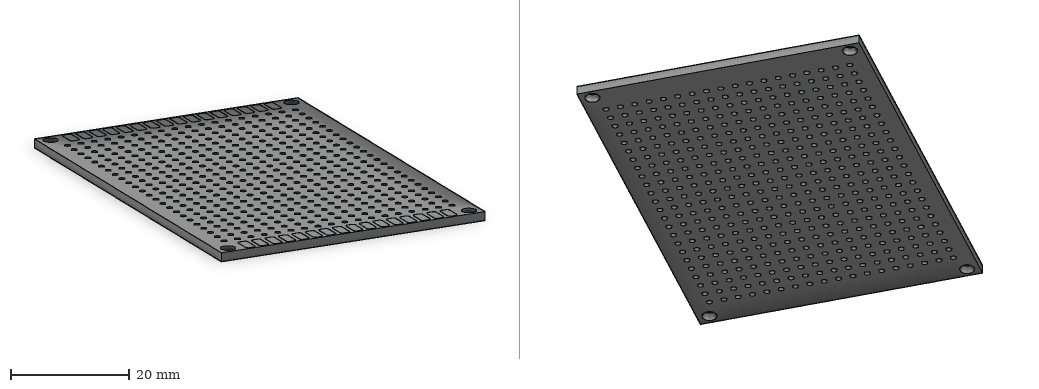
import cadquery as cq

board_length = 70.0
board_width = 50.0
total_height = 1.6
pad_height = 0.015
board_thickness = total_height - pad_height

mount_diameter = 2.5
mount_inset_x = 1.8
mount_inset_y = 2.2
mount_spacing_x = board_length - 2 * mount_inset_x
mount_spacing_y = board_width - 2 * mount_inset_y

grid_diameter = 1.0
grid_columns = 24
grid_rows = 18
grid_span_x = 58.6
grid_span_y = 43.2
grid_pitch_x = grid_span_x / (grid_columns - 1)
grid_pitch_y = grid_span_y / (grid_rows - 1)

pad_length = 3.6
pad_width = 1.75
pad_corner_radius = 0.5
pad_edge_gap = 0.35
pad_columns = 2
pad_rows = grid_rows - 2
pad_span_y = 38.3
pad_pitch_y = pad_span_y / (pad_rows - 1)
pad_spacing_x = board_length - 2 * pad_edge_gap - pad_length


def make_board():
    return cq.Workplane("XY").box(
        board_length, board_width, board_thickness, centered=(True, True, False)
    )


def make_mounting_drills():
    return (
        cq.Workplane("XY")
        .rect(mount_spacing_x, mount_spacing_y, forConstruction=True)
        .vertices()
        .circle(mount_diameter / 2)
        .extrude(board_thickness)
    )


def make_grid_drills():
    return (
        cq.Workplane("XY")
        .rarray(grid_pitch_x, grid_pitch_y, grid_columns, grid_rows)
        .circle(grid_diameter / 2)
        .extrude(board_thickness)
    )


def make_edge_pads():
    return (
        cq.Workplane("XY")
        .rarray(pad_spacing_x, pad_pitch_y, pad_columns, pad_rows)
        .rect(pad_length, pad_width)
        .extrude(total_height)
        .edges("|Z")
        .fillet(pad_corner_radius)
    )


drilled_board = make_board().cut(make_mounting_drills()).cut(make_grid_drills())
result = drilled_board.union(make_edge_pads())